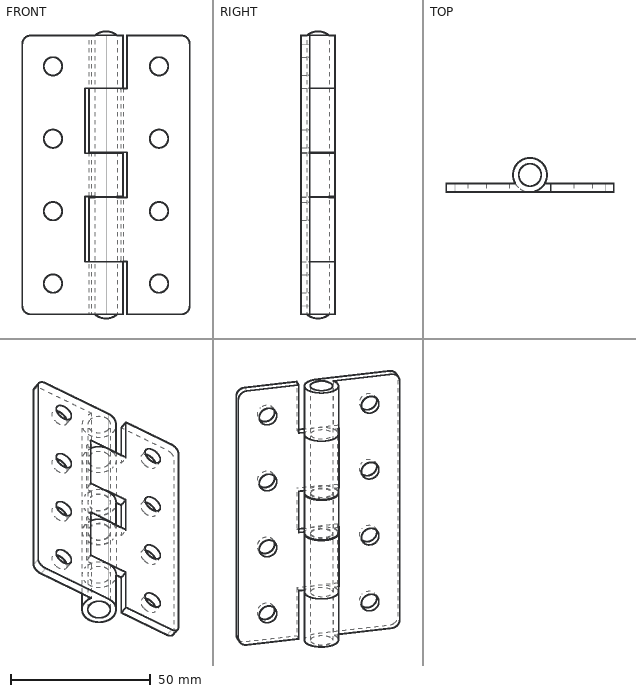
import cadquery as cq


TOTAL_HEIGHT = 103.0
LEAF_HEIGHT = 100.0
HINGE_WIDTH = 60.0

LEAF_THICKNESS = 3.1
CORNER_RADIUS = 3.1
SLOT_EDGE = 7.5

KNUCKLE_DIAMETER = 12.3
PIN_DIAMETER = 8.0
END_KNUCKLE_HEIGHT = 19.0
INNER_KNUCKLE_HEIGHT = 23.0
KNUCKLE_CLEARANCE = 0.3

HOLE_DIAMETER = 6.5
HOLE_EDGE_DISTANCE = 11.0
HOLE_PITCH = 26.0
HOLE_COUNT = 4

HALF_HEIGHT = LEAF_HEIGHT / 2
HALF_WIDTH = HINGE_WIDTH / 2
KNUCKLE_RADIUS = KNUCKLE_DIAMETER / 2
PIN_RADIUS = PIN_DIAMETER / 2
DOME_HEIGHT = (TOTAL_HEIGHT - LEAF_HEIGHT) / 2
PLATE_FRONT = -KNUCKLE_RADIUS
INNER_TOP = HALF_HEIGHT - END_KNUCKLE_HEIGHT
INNER_BOTTOM = INNER_TOP - INNER_KNUCKLE_HEIGHT
MIDDLE_TOP = INNER_BOTTOM - KNUCKLE_CLEARANCE

LEFT_SPANS = [
    (-HALF_HEIGHT, -INNER_TOP),
    (-MIDDLE_TOP, MIDDLE_TOP),
    (INNER_TOP, HALF_HEIGHT),
]
RIGHT_SPANS = [
    (-INNER_TOP, -INNER_BOTTOM),
    (INNER_BOTTOM, INNER_TOP),
]


def upright_cylinder(radius, bottom, top):
    """Cylinder on the pin axis."""
    return cq.Workplane("XY", origin=(0, 0, bottom)).circle(radius).extrude(top - bottom)


def plate_block(x_start, x_end, bottom, top):
    """Rectangular piece of plate, as thick as a leaf."""
    return cq.Workplane("XY").box(
        x_end - x_start, LEAF_THICKNESS, top - bottom, centered=False
    ).translate((x_start, PLATE_FRONT, bottom))


def screw_holes():
    """Column of drill cylinders through the right-hand plate."""
    return (
        cq.Workplane("XZ", origin=(HALF_WIDTH - HOLE_EDGE_DISTANCE, PLATE_FRONT, 0))
        .rarray(1, HOLE_PITCH, 1, HOLE_COUNT)
        .circle(HOLE_DIAMETER / 2)
        .extrude(-LEAF_THICKNESS)
    )


def right_hand_leaf(knuckle_spans):
    """Leaf on the +X side, with a knuckle and its connecting tab at each span."""
    leaf = plate_block(SLOT_EDGE, HALF_WIDTH, -HALF_HEIGHT, HALF_HEIGHT)
    leaf = leaf.edges("|Y and >X").fillet(CORNER_RADIUS)
    for bottom, top in knuckle_spans:
        leaf = leaf.union(plate_block(0, SLOT_EDGE, bottom, top))
        leaf = leaf.union(upright_cylinder(KNUCKLE_RADIUS, bottom, top))
    bore = upright_cylinder(PIN_RADIUS, -HALF_HEIGHT, HALF_HEIGHT)
    return leaf.cut(bore).cut(screw_holes())


def hinge_pin():
    """Pin that fills the bore, with a shallow spherical dome beyond each end."""
    dome_radius = (PIN_RADIUS**2 + DOME_HEIGHT**2) / (2 * DOME_HEIGHT)
    dome_tip = HALF_HEIGHT + DOME_HEIGHT
    half_profile = (
        cq.Workplane("XZ")
        .moveTo(0, -dome_tip)
        .radiusArc((PIN_RADIUS, -HALF_HEIGHT), -dome_radius)
        .lineTo(PIN_RADIUS, HALF_HEIGHT)
        .radiusArc((0, dome_tip), -dome_radius)
        .close()
    )
    return half_profile.revolve(360, (0, 0), (0, 1))


left_leaf = right_hand_leaf(LEFT_SPANS).mirror("YZ")
right_leaf = right_hand_leaf(RIGHT_SPANS)
pin = hinge_pin()

result = cq.Compound.makeCompound([left_leaf.solids().val(), right_leaf.solids().val(), pin.val()])